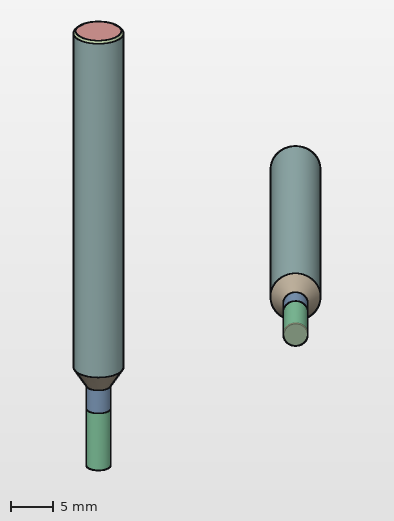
import cadquery as cq

total_length = 57.0
shank_diameter = 6.0
shank_radius = shank_diameter / 2
top_chamfer = 0.3

tip_length = 7.5
neck_top = 10.55
cone_top = 12.95

neck_radius = 1.5
tip_radius = neck_radius
tip_edge_radius = 0.085


def make_shank():
    """Round shank tapering through a cone to a short neck."""
    neck = cq.Workplane("XY").workplane(offset=tip_length).circle(neck_radius).extrude(neck_top - tip_length)
    cone = (
        cq.Workplane("XY")
        .workplane(offset=neck_top)
        .circle(neck_radius)
        .workplane(offset=cone_top - neck_top)
        .circle(shank_radius)
        .loft(ruled=True)
    )
    cylinder = (
        cq.Workplane("XY")
        .workplane(offset=cone_top)
        .circle(shank_radius)
        .extrude(total_length - cone_top)
        .faces(">Z")
        .chamfer(top_chamfer)
    )
    return neck.union(cone).union(cylinder)


def make_tip():
    """Cylindrical cutting tip seated on the end of the neck, with a rounded free edge."""
    return cq.Workplane("XY").circle(tip_radius).extrude(tip_length).faces("<Z").edges().fillet(tip_edge_radius)


shank = make_shank()
tip = make_tip()

result = cq.Compound.makeCompound([shank.val(), tip.val()])